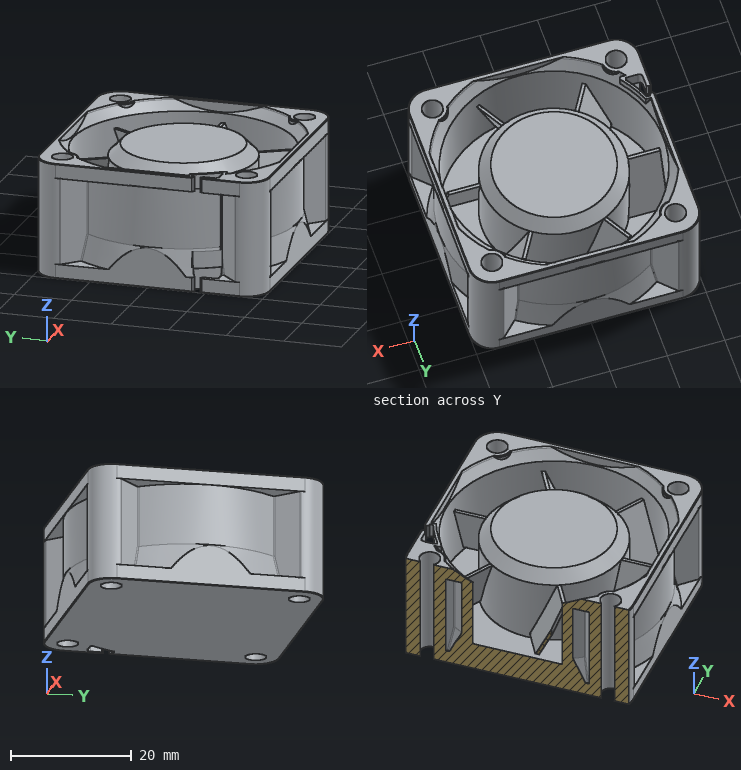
import cadquery as cq
import math

SIDE = 40.0
HALF_SIDE = SIDE / 2
HEIGHT = 20.0
CORNER_RADIUS = 4.0
OUTER_CHAMFER = 0.1
HOLE_DIAMETER = 3.5
HOLE_OFFSET = HALF_SIDE - CORNER_RADIUS
LOWER_FLANGE_TOP = 2.5
UPPER_FLANGE_BOTTOM = 17.5
RIM_THICKNESS = 0.85
RIM_INSIDE = HALF_SIDE - RIM_THICKNESS

BORE_RADIUS = 19.05
DUCT_RADIUS = 19.95
FLARE_TOP = 7.1
FLARE_ANGLE = 14.0
FLOOR_TOP = 5.3

MOUTH_BOTTOM = 18.15
MOUTH_RADIUS = 20.5
EDGE_BREAK = 0.2
BOSS_RADIUS = 2.65

WEB_HALF_WIDTH = 3.3
POST_FILLET = 0.2
JUNCTION_REACH = 0.8
WINDOW_DEPTH = 5.6

CHANNEL_RADIUS = 20.0
CHANNEL_Y_MIN = -12.05
CHANNEL_Y_MAX = -7.45
CHANNEL_FILLET = 0.3
CHANNEL_CORNER = 0.65
SHALLOW_CHANNEL_RADIUS = 20.1
SHALLOW_CHANNEL_BOTTOM = 3.6
CHANNEL_WALL = 0.5
WALL_FILLET = 0.4
SLOT_Y_MIN = -9.1
SLOT_Y_MAX = -8.1
SLOT_FILLET = 0.3

HUB_RADIUS = 12.5
HUB_TOP = 18.9
HUB_CHAMFER = 2.05
BLADE_COUNT = 6
BLADE_TIP = 18.05
BLADE_TOP = HUB_TOP - HUB_CHAMFER
BLADE_THICKNESS = 0.6
BLADE_BOTTOM = 6.1
BLADE_TOP_OFFSET = 0.9
BLADE_FOOT_OFFSET = 5.3
BLADE_ROOT = HUB_RADIUS - 2.0


def prism(outline, bottom, top):
    return outline.extrude(top - bottom).translate((0, 0, bottom))


def frame_block(bottom, top):
    block = prism(cq.Workplane("XY").rect(SIDE, SIDE), bottom, top)
    return block.edges("|Z").fillet(CORNER_RADIUS)


def duct_body():
    flare_foot = DUCT_RADIUS + FLARE_TOP * math.tan(math.radians(FLARE_ANGLE))
    profile = [(0, 0), (flare_foot, 0), (DUCT_RADIUS, FLARE_TOP), (DUCT_RADIUS, HEIGHT), (0, HEIGHT)]
    return cq.Workplane("XZ").polyline(profile).close().revolve(360, (0, 0), (0, 1))


def side_window():
    """Opening in the front side, between two corner posts, down to the duct wall."""
    reach = math.sqrt(CORNER_RADIUS**2 - WEB_HALF_WIDTH**2)
    arc_angle = math.atan2(WEB_HALF_WIDTH, reach) - math.radians(45)

    def on_corner(angle):
        """Point of the corner cylinder, at an angle from its foremost line towards the window."""
        return (
            HOLE_OFFSET - CORNER_RADIUS * math.sin(angle),
            -HOLE_OFFSET - CORNER_RADIUS * math.cos(angle),
        )

    post_front = on_corner(arc_angle)
    outline = (
        cq.Workplane("XY")
        .moveTo(0, -SIDE)
        .lineTo(HOLE_OFFSET, -SIDE)
        .lineTo(*on_corner(0))
        .threePointArc(on_corner(arc_angle / 2), post_front)
        .lineTo(post_front[0] - WINDOW_DEPTH, post_front[1] + WINDOW_DEPTH)
        .lineTo(0, post_front[1] + WINDOW_DEPTH)
        .close()
    )
    half = prism(outline, LOWER_FLANGE_TOP, UPPER_FLANGE_BOTTOM)
    half = half.edges(cq.selectors.NearestToPointSelector((*post_front, HEIGHT / 2))).fillet(POST_FILLET)
    half = half.cut(duct_body())
    junction_x = (math.sqrt(2 * (DUCT_RADIUS**2 - WEB_HALF_WIDTH**2)) - math.sqrt(2) * WEB_HALF_WIDTH) / 2
    junction_y = junction_x + math.sqrt(2) * WEB_HALF_WIDTH
    junction_area = cq.selectors.BoxSelector(
        (junction_x - JUNCTION_REACH, -junction_y - JUNCTION_REACH, 0),
        (junction_x + JUNCTION_REACH, -junction_y + JUNCTION_REACH, HEIGHT),
    )
    half = half.edges(junction_area).fillet(POST_FILLET)
    return half.union(half.mirror("YZ"))


def channel_area(radius, y_min, y_max):
    """Full-height block between the inside of the rim and a cylinder around the duct axis."""

    def on_arc(y):
        return (-math.sqrt(radius**2 - y**2), y)

    outline = (
        cq.Workplane("XY")
        .moveTo(-RIM_INSIDE, y_min)
        .lineTo(*on_arc(y_min))
        .threePointArc(on_arc((y_min + y_max) / 2), on_arc(y_max))
        .lineTo(-RIM_INSIDE, y_max)
        .close()
    )
    return outline.extrude(HEIGHT)


def cable_channel():
    """Channel through both flanges; between them it is shallower and only clips the widening duct."""
    flange_part = channel_area(CHANNEL_RADIUS, CHANNEL_Y_MIN, CHANNEL_Y_MAX)
    flange_part = flange_part.edges("|Z and <X and <Y").fillet(CHANNEL_CORNER)
    flange_part = flange_part.edges("|Z and >X").fillet(CHANNEL_FILLET)
    shallow_band = prism(
        cq.Workplane("XY").rect(2 * SIDE, 2 * SIDE), SHALLOW_CHANNEL_BOTTOM, UPPER_FLANGE_BOTTOM
    )
    shallow_part = channel_area(SHALLOW_CHANNEL_RADIUS, CHANNEL_Y_MIN, CHANNEL_Y_MAX)
    return flange_part.cut(shallow_band).union(shallow_part.intersect(shallow_band))


def cable_slot():
    """Passage through the rims into the channel, flared by a rounding on each side of both rims."""
    outside = -HALF_SIDE
    inside = -RIM_INSIDE
    r = SLOT_FILLET
    slot = (
        cq.Workplane("XY")
        .moveTo(outside, SLOT_Y_MIN - r)
        .radiusArc((outside + r, SLOT_Y_MIN), -r)
        .lineTo(inside - r, SLOT_Y_MIN)
        .radiusArc((inside, SLOT_Y_MIN - r), -r)
        .lineTo(inside, SLOT_Y_MAX + r)
        .radiusArc((inside - r, SLOT_Y_MAX), -r)
        .lineTo(outside + r, SLOT_Y_MAX)
        .radiusArc((outside, SLOT_Y_MAX + r), -r)
        .close()
    )
    return slot.extrude(HEIGHT)


def hole_boss():
    shoulder = HEIGHT - EDGE_BREAK
    profile = [
        (0, MOUTH_BOTTOM),
        (BOSS_RADIUS, MOUTH_BOTTOM),
        (BOSS_RADIUS, shoulder),
        (BOSS_RADIUS - EDGE_BREAK, HEIGHT),
        (0, HEIGHT),
    ]
    return cq.Workplane("XZ").polyline(profile).close().revolve(360, (0, 0), (0, 1))


def hole_centres():
    return [(x, y) for x in (-HOLE_OFFSET, HOLE_OFFSET) for y in (-HOLE_OFFSET, HOLE_OFFSET)]


def mouth():
    profile = [
        (0, MOUTH_BOTTOM),
        (BORE_RADIUS, MOUTH_BOTTOM),
        (MOUTH_RADIUS, HEIGHT - EDGE_BREAK),
        (MOUTH_RADIUS + EDGE_BREAK, HEIGHT),
        (0, HEIGHT),
    ]
    funnel = cq.Workplane("XZ").polyline(profile).close().revolve(360, (0, 0), (0, 1))
    funnel = funnel.intersect(prism(cq.Workplane("XY").rect(2 * RIM_INSIDE, 2 * RIM_INSIDE), 0, HEIGHT))
    for x, y in hole_centres():
        funnel = funnel.cut(hole_boss().translate((x, y, 0)))
    wall = channel_area(
        CHANNEL_RADIUS - CHANNEL_WALL, CHANNEL_Y_MIN - CHANNEL_WALL, CHANNEL_Y_MAX + CHANNEL_WALL
    )
    return funnel.cut(wall.edges("|Z and >X").fillet(WALL_FILLET))


def build_housing():
    housing = frame_block(0, HEIGHT).faces("<Z or >Z").edges().chamfer(OUTER_CHAMFER)
    for angle in (0, 90, 180, 270):
        housing = housing.cut(side_window().rotate((0, 0, 0), (0, 0, 1), angle))
    housing = housing.cut(prism(cq.Workplane("XY").circle(BORE_RADIUS), FLOOR_TOP, HEIGHT))
    housing = housing.cut(mouth())
    housing = housing.cut(cable_channel()).cut(cable_slot())
    holes = cq.Workplane("XY").pushPoints(hole_centres()).circle(HOLE_DIAMETER / 2).extrude(HEIGHT)
    return housing.cut(holes)


def blade(angle):
    """Flat blade that leans sideways from its foot, clear of the floor, to its top edge."""
    section = [
        (-BLADE_TOP_OFFSET, BLADE_TOP),
        (-BLADE_TOP_OFFSET - BLADE_THICKNESS, BLADE_TOP),
        (-BLADE_FOOT_OFFSET - BLADE_THICKNESS, BLADE_BOTTOM),
        (-BLADE_FOOT_OFFSET, BLADE_BOTTOM),
    ]
    bar = cq.Workplane("YZ").polyline(section).close().extrude(BLADE_TIP - BLADE_ROOT)
    return bar.translate((BLADE_ROOT, 0, 0)).rotate((0, 0, 0), (0, 0, 1), angle)


def build_rotor():
    rotor = prism(cq.Workplane("XY").circle(HUB_RADIUS), FLOOR_TOP, HUB_TOP)
    rotor = rotor.faces(">Z").chamfer(HUB_CHAMFER)
    for i in range(BLADE_COUNT):
        rotor = rotor.union(blade(i * 360 / BLADE_COUNT))
    return rotor


housing = build_housing()
rotor = build_rotor()
result = cq.Compound.makeCompound([housing.val(), rotor.val()])